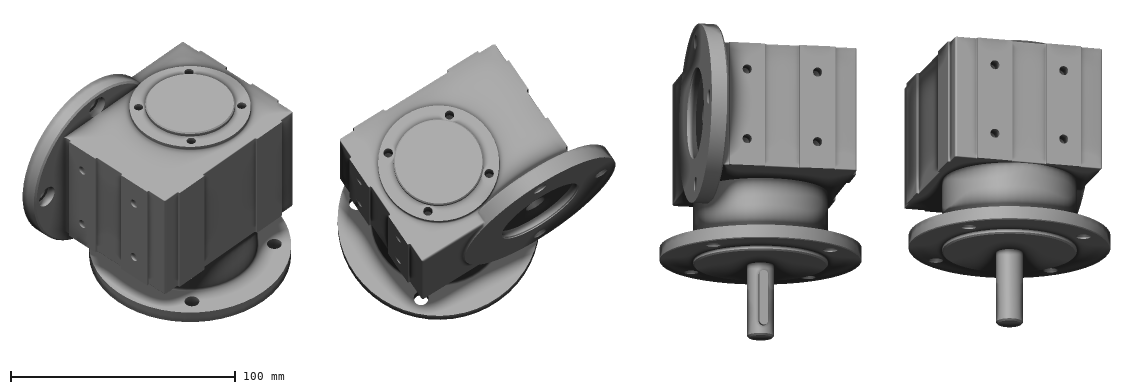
import cadquery as cq
import math


OVERALL_HEIGHT = 134.0

HALF_HEIGHT = 28.0
RIGHT_X = 34.0
LEFT_X = -34.3
BACK_Y = 30.8
FRONT_Y = -51.7
CORNER_ROUND = 1.0
RIM_ROUND = 0.4

PAD_RISE = 1.1
PAD_WIDTH = 16.1
PAD_FOOT_ROUND = 0.4
PAD_ROOT = 0.7
PAD_PITCH = 31.9
SIDE_PAD_PITCH = 50.0
SIDE_PAD_MIDDLE_Y = -10.5

TAP_DIAMETER = 4.2
TAP_DEPTH = 6.7
SIDE_TAP_PITCH = 31.9
DRILL_POINT_ANGLE = 118.0
COVER_TAP_CIRCLE = 46.0

COVER_DIAMETER = 54.0
COVER_TOP = 30.0
COVER_BASE_ROUND = 0.5
CAP_DIAMETER = 40.0
CAP_TOP = 32.0
CAP_CHAMFER = 0.5

NECK_DIAMETER = 60.0
NECK_ROUND = 1.0
OUTPUT_FLANGE_DIAMETER = 90.0
OUTPUT_FLANGE_TOP = -52.9
OUTPUT_FLANGE_THICKNESS = 6.0
OUTPUT_FLANGE_CHAMFER = 0.4
OUTPUT_BOLT_CIRCLE = 75.0
OUTPUT_BOLT_COUNT = 4
OUTPUT_BOLT_START_ANGLE = 45
BOLT_HOLE_DIAMETER = 6.5
SPIGOT_HEIGHT = 2.0
SPIGOT_CHAMFER = 0.7

SHAFT_DIAMETER = 12.0
SHAFT_CHAMFER = 0.8
KEY_WIDTH = 3.9
KEY_LENGTH = 25.0
KEY_TOP = -64.7
KEY_REACH = 7.8

INPUT_Y = -31.0
INPUT_FLANGE_DIAMETER = 80.0
INPUT_FACE_X = -35.4
INPUT_FLANGE_THICKNESS = 7.8
INPUT_FLANGE_CHAMFER = 0.8
INPUT_BOLT_CIRCLE = 65.0
BOLT_SEAT_DIAMETER = 10.0
BOLT_SEAT_DEPTH = 4.0
JOINT_ROUND = 1.0
REGISTER_DIAMETER = 40.0
REGISTER_DEPTH = 4.0
REGISTER_CHAMFER = 0.4
BORE_DIAMETER = 10.0
BORE_DEPTH = 4.0

INPUT_RADIUS = INPUT_FLANGE_DIAMETER / 2
SHAFT_BOTTOM = INPUT_RADIUS - OVERALL_HEIGHT
INPUT_BACK_X = INPUT_FACE_X + INPUT_FLANGE_THICKNESS
OUTPUT_FLANGE_BOTTOM = OUTPUT_FLANGE_TOP - OUTPUT_FLANGE_THICKNESS
SPIGOT_BOTTOM = OUTPUT_FLANGE_BOTTOM - SPIGOT_HEIGHT
PAD_XS = (-PAD_PITCH / 2, PAD_PITCH / 2)
SIDE_PAD_YS = (SIDE_PAD_MIDDLE_Y - SIDE_PAD_PITCH / 2, SIDE_PAD_MIDDLE_Y + SIDE_PAD_PITCH / 2)
SIDE_TAP_ZS = (-SIDE_TAP_PITCH / 2, SIDE_TAP_PITCH / 2)
FRONT_PAD_Y = FRONT_Y - PAD_RISE
BACK_PAD_Y = BACK_Y + PAD_RISE


def z_cylinder(diameter, bottom, top):
    return cq.Workplane("XY").workplane(offset=bottom).circle(diameter / 2).extrude(top - bottom)


def x_cylinder(diameter, start, end, y=INPUT_Y, z=0):
    section = cq.Workplane("YZ", origin=(start, 0, 0)).center(y, z).circle(diameter / 2)
    return section.extrude(end - start)


def tapped_hole(mouth, direction):
    """Blind hole with a conical drill point, running from the mouth along the direction."""
    radius = TAP_DIAMETER / 2
    start = cq.Vector(*mouth)
    axis = cq.Vector(*direction)
    point_height = radius / math.tan(math.radians(DRILL_POINT_ANGLE / 2))
    straight = cq.Solid.makeCylinder(radius, TAP_DEPTH, start, axis)
    point = cq.Solid.makeCone(radius, 0, point_height, start + axis * TAP_DEPTH, axis)
    return straight.fuse(point)


def base_round(diameter, seat, radius):
    """Ring with a concave quarter-round, filling the corner between a cylinder and the flat at its foot."""
    inner = diameter / 2
    profile = (
        cq.Workplane("XZ")
        .moveTo(inner - radius, seat)
        .lineTo(inner + radius, seat)
        .radiusArc((inner, seat + radius), radius)
        .lineTo(inner - radius, seat + radius)
        .close()
    )
    return profile.revolve(360, (0, 0, 0), (0, 1, 0))


def pad(x, y, turn):
    """Full-height pad with rounded feet on a face through (x, y); it faces +Y before the turn in degrees."""
    half = PAD_WIDTH / 2
    profile = (
        cq.Workplane("XY", origin=(0, 0, -HALF_HEIGHT))
        .moveTo(-half - PAD_FOOT_ROUND, -PAD_ROOT)
        .lineTo(-half - PAD_FOOT_ROUND, 0)
        .radiusArc((-half, PAD_FOOT_ROUND), -PAD_FOOT_ROUND)
        .lineTo(-half, PAD_RISE)
        .lineTo(half, PAD_RISE)
        .lineTo(half, PAD_FOOT_ROUND)
        .radiusArc((half + PAD_FOOT_ROUND, 0), -PAD_FOOT_ROUND)
        .lineTo(half + PAD_FOOT_ROUND, -PAD_ROOT)
        .close()
    )
    solid = profile.extrude(2 * HALF_HEIGHT)
    return solid.rotate((0, 0, 0), (0, 0, 1), turn).translate((x, y, 0))


def housing_block():
    size = (RIGHT_X - LEFT_X, BACK_Y - FRONT_Y, 2 * HALF_HEIGHT)
    block = cq.Workplane("XY").box(*size, centered=False).translate((LEFT_X, FRONT_Y, -HALF_HEIGHT))
    block = block.edges("|Z or <X").fillet(CORNER_ROUND)
    return block.edges("(>Z or <Z) and (not |Y or >X)").fillet(RIM_ROUND)


def square_rim_strip():
    """Front face strip between the input flange and the first pad, which keeps its sharp rims."""
    width = PAD_XS[0] - PAD_WIDTH / 2 - INPUT_BACK_X
    strip = cq.Workplane("XY").box(width, PAD_ROOT, 2 * HALF_HEIGHT, centered=(False, False, True))
    return strip.translate((INPUT_BACK_X, FRONT_Y, 0))


def housing_with_input_flange():
    flange = x_cylinder(INPUT_FLANGE_DIAMETER, INPUT_FACE_X, INPUT_BACK_X)
    flange = flange.faces(">X").edges().chamfer(INPUT_FLANGE_CHAMFER)
    body = housing_block().union(flange).union(square_rim_strip())

    rim_y = INPUT_Y + math.sqrt(INPUT_RADIUS**2 - HALF_HEIGHT**2)
    rim_start_x = LEFT_X + CORNER_ROUND
    rim_end_x = INPUT_BACK_X - INPUT_FLANGE_CHAMFER
    rim_joint = cq.selectors.NearestToPointSelector(((rim_start_x + rim_end_x) / 2, rim_y, HALF_HEIGHT))
    back_joint = cq.selectors.NearestToPointSelector((INPUT_BACK_X, FRONT_Y, 0))
    body = body.edges(rim_joint).fillet(JOINT_ROUND)
    body = body.edges(back_joint).fillet(JOINT_ROUND)

    for x in PAD_XS:
        body = body.union(pad(x, BACK_Y, 0)).union(pad(x, FRONT_Y, 180))
    for y in SIDE_PAD_YS:
        body = body.union(pad(RIGHT_X, y, -90))
    return body


def top_cover():
    cover = z_cylinder(COVER_DIAMETER, HALF_HEIGHT, COVER_TOP)
    cap = z_cylinder(CAP_DIAMETER, HALF_HEIGHT, CAP_TOP).faces(">Z").edges().chamfer(CAP_CHAMFER)
    return cover.union(base_round(COVER_DIAMETER, HALF_HEIGHT, COVER_BASE_ROUND)).union(cap)


def output_side():
    neck = z_cylinder(NECK_DIAMETER, OUTPUT_FLANGE_TOP, 0)
    flange = z_cylinder(OUTPUT_FLANGE_DIAMETER, OUTPUT_FLANGE_BOTTOM, OUTPUT_FLANGE_TOP)
    flange = flange.faces("<Z").edges().chamfer(OUTPUT_FLANGE_CHAMFER)
    body = neck.union(flange).union(base_round(NECK_DIAMETER, OUTPUT_FLANGE_TOP, NECK_ROUND))
    bolts = (
        cq.Workplane("XY", origin=(0, 0, OUTPUT_FLANGE_BOTTOM))
        .polarArray(OUTPUT_BOLT_CIRCLE / 2, OUTPUT_BOLT_START_ANGLE, 360, OUTPUT_BOLT_COUNT)
        .circle(BOLT_HOLE_DIAMETER / 2)
        .extrude(OUTPUT_FLANGE_THICKNESS)
    )
    spigot = z_cylinder(NECK_DIAMETER, SPIGOT_BOTTOM, OUTPUT_FLANGE_TOP)
    spigot = spigot.faces("<Z").edges().chamfer(SPIGOT_CHAMFER)
    return body.cut(bolts).union(spigot)


def shaft_with_key():
    shaft = z_cylinder(SHAFT_DIAMETER, SHAFT_BOTTOM, OUTPUT_FLANGE_TOP)
    shaft = shaft.faces("<Z").edges().chamfer(SHAFT_CHAMFER)
    key = (
        cq.Workplane("XZ")
        .center(0, KEY_TOP - KEY_LENGTH / 2)
        .slot2D(KEY_LENGTH, KEY_WIDTH, 90)
        .extrude(KEY_REACH)
    )
    return shaft.union(key)


def input_bolt_holes():
    """Three holes, counterbored from the back; the fourth place is covered by the housing."""
    reach = INPUT_BOLT_CIRCLE / 2
    holes = cq.Workplane()
    for y, z in ((INPUT_Y - reach, 0), (INPUT_Y, reach), (INPUT_Y, -reach)):
        holes = holes.union(x_cylinder(BOLT_HOLE_DIAMETER, INPUT_FACE_X, INPUT_BACK_X, y, z))
        seat = x_cylinder(BOLT_SEAT_DIAMETER, INPUT_BACK_X - BOLT_SEAT_DEPTH, INPUT_BACK_X, y, z)
        holes = holes.union(seat)
    return holes


def input_recess():
    register_floor = INPUT_FACE_X + REGISTER_DEPTH
    register = x_cylinder(REGISTER_DIAMETER, INPUT_FACE_X, register_floor)
    lead_in_diameter = REGISTER_DIAMETER + 2 * REGISTER_CHAMFER
    lead_in = x_cylinder(lead_in_diameter, INPUT_FACE_X, INPUT_FACE_X + 2 * REGISTER_CHAMFER)
    lead_in = lead_in.faces(">X").edges().chamfer(REGISTER_CHAMFER)
    bore = x_cylinder(BORE_DIAMETER, register_floor, register_floor + BORE_DEPTH)
    return register.union(lead_in).union(bore)


result = housing_with_input_flange().union(top_cover()).union(output_side()).union(shaft_with_key())
result = result.cut(input_bolt_holes()).cut(input_recess())

for x in PAD_XS:
    for z in SIDE_TAP_ZS:
        result = result.cut(cq.Workplane(tapped_hole((x, FRONT_PAD_Y, z), (0, 1, 0))))
        result = result.cut(cq.Workplane(tapped_hole((x, BACK_PAD_Y, z), (0, -1, 0))))

cover_tap_offset = COVER_TAP_CIRCLE / 2 * math.sqrt(0.5)
for x in (-cover_tap_offset, cover_tap_offset):
    for y in (-cover_tap_offset, cover_tap_offset):
        result = result.cut(cq.Workplane(tapped_hole((x, y, COVER_TOP), (0, 0, -1))))